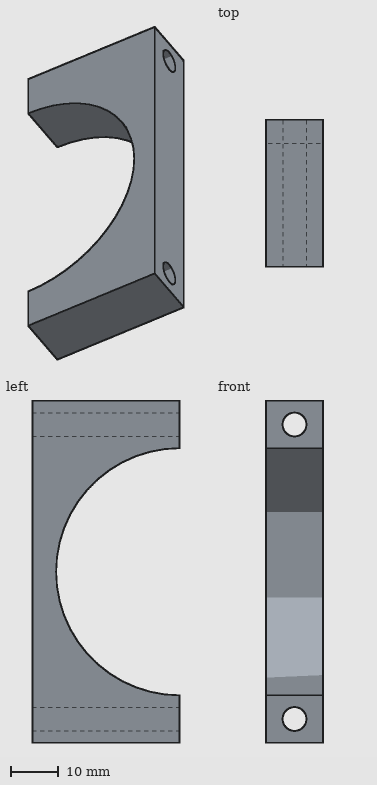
import cadquery as cq

width = 12.0
depth = 31.0
height = 72.0
saddle_radius = 26.0
bolt_diameter = 5.0
bolt_spacing = 62.0

front_y = -depth / 2

block = cq.Workplane("XY").box(width, depth, height)

saddle = (
    cq.Workplane("YZ")
    .center(front_y, 0)
    .circle(saddle_radius)
    .extrude(width, both=True)
)

bolt_holes = (
    cq.Workplane("XZ")
    .pushPoints([(0, -bolt_spacing / 2), (0, bolt_spacing / 2)])
    .circle(bolt_diameter / 2)
    .extrude(depth, both=True)
)

result = block.cut(saddle).cut(bolt_holes)